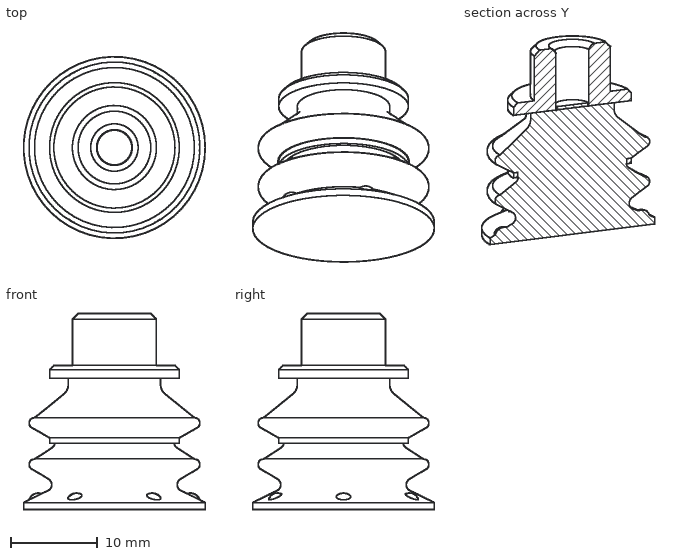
import cadquery as cq
import math

TOTAL_HEIGHT = 22.65
SPIGOT_RADIUS = 9.72 / 2
SPIGOT_HEIGHT = 6.0
SPIGOT_CHAMFER = 0.65
FLANGE_RADIUS = 7.5
FLANGE_THICKNESS = 1.5
FLANGE_CHAMFER = 0.5
BORE_RADIUS = 2.06
BORE_MOUTH_RADIUS = 2.75
BORE_MOUTH_DEPTH = 0.68
BORE_MOUTH_BULGE = 0.07

DISC_RADIUS = 4.0 / 2
DISC_THICKNESS = 0.45

LIP_RADIUS = 21.0 / 2
LIP_THICKNESS = 0.82
LIP_CONE_TOP_RADIUS = 7.86
LIP_CONE_TOP_Z = 2.13
LOWER_WAIST_RADIUS = 7.27
LOWER_WAIST_Z = 2.79
WAIST_TOP_RADIUS = 7.6
LOWER_WAIST_TOP_Z = 3.5
BEAD_RADIUS = 0.63
BEAD_CENTER_RADIUS = 9.25
BEAD_UNDERSIDE_ANGLE = 33.5
LOWER_BEAD_Z = 5.21
FOLD_PITCH = 4.78
FOLD_TOP_RADIUS = 7.25
FOLD_TOP_Z = 7.14
NECK_RADIUS = 5.35
NECK_BASE_Z = 14.45
NECK_FILLET_RADIUS = 1.43
NECK_FILLET_ANGLE = 52.0

RING_RADIUS = FLANGE_RADIUS
RING_INNER_RADIUS = 6.9
RING_BOTTOM_Z = 7.64
RING_HEIGHT = 0.68

BUMP_COUNT = 6
BUMP_BASE_RADIUS = 0.82
BUMP_HEIGHT = 0.35
BUMP_CIRCLE_RADIUS = 9.13

FLANGE_TOP_Z = TOTAL_HEIGHT - SPIGOT_HEIGHT
FLANGE_BOTTOM_Z = FLANGE_TOP_Z - FLANGE_THICKNESS
RING_TOP_Z = RING_BOTTOM_Z + RING_HEIGHT
UPPER_BEAD_Z = LOWER_BEAD_Z + FOLD_PITCH


def revolve_about_z(profile):
    """Turn a closed radius-height profile drawn on XZ into a solid of revolution."""
    return profile.close().revolve(360, (0, 0, 0), (0, 1, 0))


def make_fitting():
    """Flanged spigot with a straight bore and a rounded bore mouth."""
    mouth_middle = (
        (BORE_RADIUS + BORE_MOUTH_RADIUS) / 2 - BORE_MOUTH_BULGE,
        TOTAL_HEIGHT - BORE_MOUTH_DEPTH / 2 + BORE_MOUTH_BULGE,
    )
    profile = (
        cq.Workplane("XZ")
        .moveTo(BORE_RADIUS, FLANGE_BOTTOM_Z)
        .lineTo(FLANGE_RADIUS, FLANGE_BOTTOM_Z)
        .lineTo(FLANGE_RADIUS, FLANGE_TOP_Z - FLANGE_CHAMFER)
        .lineTo(FLANGE_RADIUS - FLANGE_CHAMFER, FLANGE_TOP_Z)
        .lineTo(SPIGOT_RADIUS, FLANGE_TOP_Z)
        .lineTo(SPIGOT_RADIUS, TOTAL_HEIGHT - SPIGOT_CHAMFER)
        .lineTo(SPIGOT_RADIUS - SPIGOT_CHAMFER, TOTAL_HEIGHT)
        .lineTo(BORE_MOUTH_RADIUS, TOTAL_HEIGHT)
        .threePointArc(mouth_middle, (BORE_RADIUS, TOTAL_HEIGHT - BORE_MOUTH_DEPTH))
    )
    return revolve_about_z(profile)


def make_disc():
    """Loose disc lying on the bellows and closing the foot of the bore."""
    return cq.Workplane("XY", origin=(0, 0, FLANGE_BOTTOM_Z)).circle(DISC_RADIUS).extrude(DISC_THICKNESS)


def make_ring():
    """Reinforcing ring seated in the groove between the two folds."""
    return (
        cq.Workplane("XY", origin=(0, 0, RING_BOTTOM_Z))
        .circle(RING_RADIUS)
        .circle(RING_INNER_RADIUS)
        .extrude(RING_HEIGHT)
    )


def add_bead(profile, bead_z):
    """Add a fold's rounded rim, from its tangent point on the underside up to its top."""
    angle = math.radians(BEAD_UNDERSIDE_ANGLE)
    underside = (
        BEAD_CENTER_RADIUS + BEAD_RADIUS * math.sin(angle),
        bead_z - BEAD_RADIUS * math.cos(angle),
    )
    outermost = (BEAD_CENTER_RADIUS + BEAD_RADIUS, bead_z)
    top = (BEAD_CENTER_RADIUS, bead_z + BEAD_RADIUS)
    return profile.lineTo(*underside).threePointArc(outermost, top)


def neck_flare_point(angle_degrees):
    """Point on the neck fillet after it has turned outward by the given angle."""
    angle = math.radians(angle_degrees)
    return (
        NECK_RADIUS + NECK_FILLET_RADIUS * (1 - math.cos(angle)),
        NECK_BASE_Z - NECK_FILLET_RADIUS * math.sin(angle),
    )


def make_bump(angle_degrees):
    """Upper half of a ball, sunk into the lip so that its cap stands out along the cone's normal."""
    cone_run = LIP_RADIUS - LIP_CONE_TOP_RADIUS
    cone_rise = LIP_CONE_TOP_Z - LIP_THICKNESS
    slope = math.atan2(cone_rise, cone_run)
    surface_z = LIP_THICKNESS + (LIP_RADIUS - BUMP_CIRCLE_RADIUS) * math.tan(slope)
    ball_radius = (BUMP_BASE_RADIUS**2 + BUMP_HEIGHT**2) / (2 * BUMP_HEIGHT)
    sink = ball_radius - BUMP_HEIGHT
    center_radius = BUMP_CIRCLE_RADIUS - sink * math.sin(slope)
    center_z = surface_z - sink * math.cos(slope)
    half_ball = cq.Workplane("XY").sphere(ball_radius, angle1=0).translate((center_radius, 0, center_z))
    return half_ball.rotate((0, 0, 0), (0, 0, 1), angle_degrees)


def make_bellows():
    """Two-fold bellows with a flared lip, a ring groove and bumps on the lip."""
    profile = (
        cq.Workplane("XZ")
        .lineTo(LIP_RADIUS, 0)
        .lineTo(LIP_RADIUS, LIP_THICKNESS)
        .lineTo(LIP_CONE_TOP_RADIUS, LIP_CONE_TOP_Z)
        .threePointArc((LOWER_WAIST_RADIUS, LOWER_WAIST_Z), (WAIST_TOP_RADIUS, LOWER_WAIST_TOP_Z))
    )
    profile = add_bead(profile, LOWER_BEAD_Z)
    profile = (
        profile.lineTo(FOLD_TOP_RADIUS, FOLD_TOP_Z)
        .tangentArcPoint((RING_INNER_RADIUS, RING_BOTTOM_Z), relative=False)
        .lineTo(RING_INNER_RADIUS, RING_TOP_Z)
        .lineTo(WAIST_TOP_RADIUS, RING_TOP_Z)
    )
    profile = add_bead(profile, UPPER_BEAD_Z)
    profile = (
        profile.lineTo(*neck_flare_point(NECK_FILLET_ANGLE))
        .threePointArc(neck_flare_point(NECK_FILLET_ANGLE / 2), neck_flare_point(0))
        .lineTo(NECK_RADIUS, FLANGE_BOTTOM_Z)
        .lineTo(0, FLANGE_BOTTOM_Z)
    )
    bellows = revolve_about_z(profile)
    for index in range(BUMP_COUNT):
        bellows = bellows.union(make_bump(index * 360 / BUMP_COUNT))
    return bellows.solids()


fitting = make_fitting()
disc = make_disc()
ring = make_ring()
bellows = make_bellows()

result = cq.Compound.makeCompound([fitting.val(), disc.val(), ring.val(), bellows.val()])